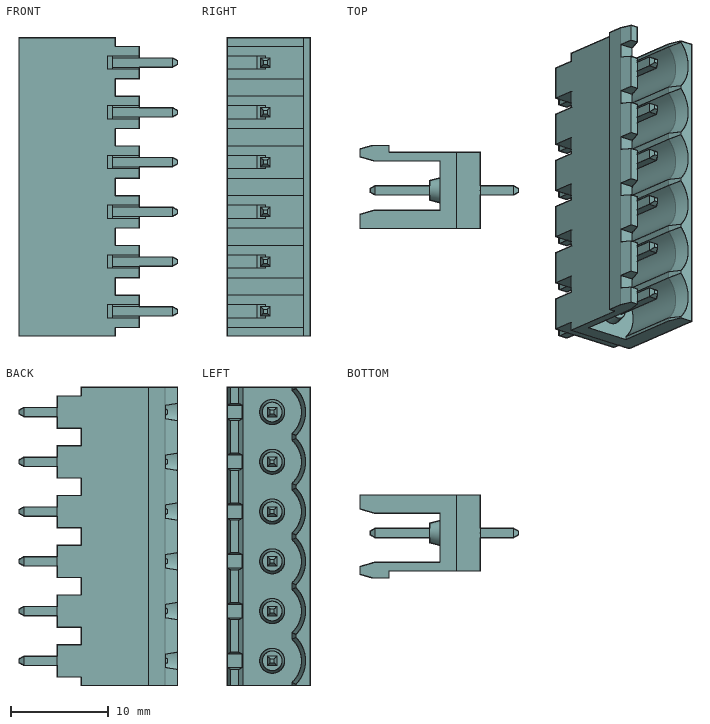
import cadquery as cq


PIN_COUNT = 6
LENGTH = 30.48
PITCH = LENGTH / PIN_COUNT
PIN_CENTRES = [(i + 0.5) * PITCH for i in range(PIN_COUNT)]

WIDTH = 7.8
BODY_DEPTH = 9.85
REAR_X = 12.28
CAVITY_DEPTH = 8.17
LOWER_WALL = 1.9
UPPER_WALL = 0.9
UPPER_INNER_Y = WIDTH - UPPER_WALL

LEAD_IN_LENGTH = 1.45
LEAD_IN_RISE = 0.43
HOOK_LENGTH = 3.0
HOOK_HEIGHT = 0.7
HOOK_TOP_Y = WIDTH + HOOK_HEIGHT
HOOK_RAMP_LENGTH = 1.28
HOOK_RAMP_DROP = 0.37

NOTCH_DEPTH = 1.22
NOTCH_MOUTH = 1.77
NOTCH_FLOOR = 1.37

HOLLOW_RADIUS = 3.0
HOLLOW_MOUTH_RADIUS = HOLLOW_RADIUS + LEAD_IN_RISE

PIN_Y = 3.9
PIN_SIZE = 0.98
PIN_FRONT_X = 1.05
PIN_REAR_X = 16.2
PIN_TIP_SIZE = 0.4
PIN_TIP_LENGTH = 0.52
COLLAR_LENGTH = 1.07
COLLAR_BASE_RADIUS = 1.28
COLLAR_FRONT_RADIUS = 1.0

TOOTH_HEIGHT = 3.32
SLOT_HEIGHT = 1.35
SLOT_FRONT_X = 9.05
SLOT_STEP_X = 9.57
SLOT_STEP_Y = 3.05
SLOT_FLOOR_Y = PIN_Y


def block(x0, x1, y0, y1, z_centre, height):
    """Box between two X and two Y positions, centred at one height."""
    return (
        cq.Workplane("XY", origin=(0, 0, z_centre - height / 2))
        .moveTo(x0, y0)
        .lineTo(x1, y0)
        .lineTo(x1, y1)
        .lineTo(x0, y1)
        .close()
        .extrude(height)
    )


def make_body():
    """U-shaped section with lead-ins and a latching hook, along the whole row."""
    outline = [
        (0, 0),
        (BODY_DEPTH, 0),
        (BODY_DEPTH, WIDTH),
        (HOOK_LENGTH, WIDTH),
        (HOOK_LENGTH, HOOK_TOP_Y),
        (HOOK_RAMP_LENGTH, HOOK_TOP_Y),
        (0, HOOK_TOP_Y - HOOK_RAMP_DROP),
        (0, UPPER_INNER_Y + LEAD_IN_RISE),
        (LEAD_IN_LENGTH, UPPER_INNER_Y),
        (CAVITY_DEPTH, UPPER_INNER_Y),
        (CAVITY_DEPTH, LOWER_WALL),
        (LEAD_IN_LENGTH, LOWER_WALL),
        (0, LOWER_WALL - LEAD_IN_RISE),
    ]
    return cq.Workplane("XY").polyline(outline).close().extrude(LENGTH)


def make_hollow(z):
    """Round hollow about a pin axis, flared at the mouth, kept to the lower half."""
    revolved = (
        cq.Workplane("XY", origin=(0, PIN_Y, z))
        .polyline([
            (0, 0),
            (0, -HOLLOW_MOUTH_RADIUS),
            (LEAD_IN_LENGTH, -HOLLOW_RADIUS),
            (CAVITY_DEPTH, -HOLLOW_RADIUS),
            (CAVITY_DEPTH, 0),
        ])
        .close()
        .revolve(360, (0, 0, 0), (1, 0, 0))
    )
    return revolved.intersect(block(0, CAVITY_DEPTH, 0, PIN_Y, z, 2 * PITCH))


def make_notch(z):
    """Tapered notch across the tip of the hook."""
    return (
        cq.Workplane("XZ", origin=(0, HOOK_TOP_Y, z))
        .polyline([
            (0, -NOTCH_MOUTH / 2),
            (NOTCH_DEPTH, -NOTCH_FLOOR / 2),
            (NOTCH_DEPTH, NOTCH_FLOOR / 2),
            (0, NOTCH_MOUTH / 2),
        ])
        .close()
        .extrude(HOOK_TOP_Y - UPPER_INNER_Y)
    )


def make_slot(z):
    """Stepped slot from the lower side, with a ledge in front of the pin."""
    shallow = block(SLOT_FRONT_X, REAR_X, 0, SLOT_STEP_Y, z, SLOT_HEIGHT)
    deep = block(SLOT_STEP_X, REAR_X, 0, SLOT_FLOOR_Y, z, SLOT_HEIGHT)
    return shallow.union(deep)


def make_collar(z):
    """Conical collar around a pin on the cavity floor."""
    return (
        cq.Workplane("YZ", origin=(CAVITY_DEPTH, PIN_Y, z))
        .circle(COLLAR_BASE_RADIUS)
        .workplane(offset=-COLLAR_LENGTH)
        .circle(COLLAR_FRONT_RADIUS)
        .loft()
    )


def make_pin_tip(base_x, direction, z):
    """Square pyramid frustum ending a pin; direction is -1 or 1 along X."""
    return (
        cq.Workplane("YZ", origin=(base_x, PIN_Y, z))
        .rect(PIN_SIZE, PIN_SIZE)
        .workplane(offset=direction * PIN_TIP_LENGTH)
        .rect(PIN_TIP_SIZE, PIN_TIP_SIZE)
        .loft()
    )


def make_pin(z):
    """Square pin with a tapered tip at both ends."""
    shank_front = PIN_FRONT_X + PIN_TIP_LENGTH
    shank_rear = PIN_REAR_X - PIN_TIP_LENGTH
    half = PIN_SIZE / 2
    shank = block(shank_front, shank_rear, PIN_Y - half, PIN_Y + half, z, PIN_SIZE)
    return shank.union(make_pin_tip(shank_front, -1, z)).union(make_pin_tip(shank_rear, 1, z))


result = make_body()
for z in PIN_CENTRES:
    result = result.cut(make_hollow(z)).cut(make_notch(z))
    result = result.union(block(BODY_DEPTH, REAR_X, 0, WIDTH, z, TOOTH_HEIGHT))
    result = result.cut(make_slot(z))
    result = result.union(make_collar(z)).union(make_pin(z))